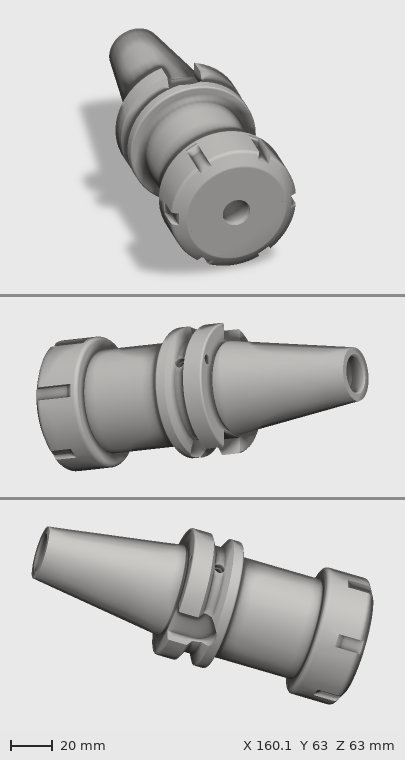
import cadquery as cq
import math


total_length = 160.1
taper_end = 65.8
flange_start = 67.2
flange_end = 92.4
nut_start = 134.8

taper_big_radius = 22.5
taper_ratio = 7 / 24
taper_small_radius = taper_big_radius - taper_end * taper_ratio / 2
neck_radius = 21.6
neck_step = taper_big_radius - neck_radius

flange_radius = 31.5
flange_fillet = 1.0
groove_start = 77.0
groove_end = 87.1
groove_radius = 26.5
groove_flank_angle = 60
groove_flank = (flange_radius - groove_radius) / math.tan(math.radians(groove_flank_angle))

shank_radius = 25.0
shank_fillet = 2.7
shank_chamfer = 0.6
spigot_radius = 23.4

bore_radius = 6.9
counterbore_radius = 8.8
counterbore_depth = 6.4
mouth_chamfer = 0.8
bore_chamfer = 1.1

drive_slot_width = 16.7
drive_slot_end = 88.7
drive_slot_floor = 22.7
drive_slot_lead_in = 0.6

coolant_angle = 20
coolant_tilt = 25
coolant_diameter = 4.5
coolant_circle_radius = 26.9
port_diameter = 5.0
port_depth = 2.7
port_core_diameter = 3.2
port_x = (groove_start + groove_end) / 2
coolant_end_radius = coolant_circle_radius - (port_x - flange_start) * math.tan(math.radians(coolant_tilt))

nut_radius = 31.5
nut_rear_fillet = 2.0
nut_cone_start = 156.1
nut_end_radius = 25.0
nut_shoulder_fillet = 2.2
nut_end_fillet = 1.6

spanner_slot_count = 6
spanner_slot_width = 6.4
spanner_slot_floor = 28.2
long_slot_start = 138.2
short_slot_start = 144.9
slot_ramp_length = 3.2
slot_ramp_top = 30.7

clearance = 1.6


def revolve_about_x(profile):
    """Turn a closed (x, radius) profile about the X axis."""
    return profile.close().revolve(360, (0, 0, 0), (1, 0, 0))


def cylinder_between(start, end, diameter):
    """Round bar from one point to another."""
    axis = cq.Vector(*end) - cq.Vector(*start)
    return cq.Workplane(cq.Solid.makeCylinder(diameter / 2, axis.Length, cq.Vector(*start), axis))


def turned_holder():
    profile = (
        cq.Workplane("XY")
        .moveTo(0, 0)
        .lineTo(0, taper_small_radius)
        .lineTo(taper_end, taper_big_radius)
        .lineTo(taper_end + neck_step, neck_radius)
        .lineTo(flange_start, neck_radius)
        .lineTo(flange_start, flange_radius - flange_fillet)
        .tangentArcPoint((flange_start + flange_fillet, flange_radius), relative=False)
        .lineTo(groove_start, flange_radius)
        .lineTo(groove_start + groove_flank, groove_radius)
        .lineTo(groove_end - groove_flank, groove_radius)
        .lineTo(groove_end, flange_radius)
        .lineTo(flange_end - flange_fillet, flange_radius)
        .tangentArcPoint((flange_end, flange_radius - flange_fillet), relative=False)
        .lineTo(flange_end, shank_radius + shank_fillet)
        .tangentArcPoint((flange_end + shank_fillet, shank_radius), relative=False)
        .lineTo(nut_start - shank_chamfer, shank_radius)
        .lineTo(nut_start, shank_radius - shank_chamfer)
        .lineTo(nut_start, spigot_radius)
        .lineTo(total_length, spigot_radius)
        .lineTo(total_length, 0)
    )
    return revolve_about_x(profile)


def bore():
    profile = (
        cq.Workplane("XY")
        .lineTo(0, counterbore_radius + mouth_chamfer)
        .lineTo(mouth_chamfer, counterbore_radius)
        .lineTo(counterbore_depth, counterbore_radius)
        .lineTo(counterbore_depth, bore_radius + bore_chamfer)
        .lineTo(counterbore_depth + bore_chamfer, bore_radius)
        .lineTo(total_length, bore_radius)
        .lineTo(total_length, 0)
    )
    return revolve_about_x(profile)


def drive_slot():
    """Slot at the +Z side, open towards the taper with a chamfered floor edge, rounded at its far end."""
    half_width = drive_slot_width / 2
    arc_start = drive_slot_end - half_width
    open_end = flange_start - clearance
    slot = (
        cq.Workplane("XY", origin=(0, 0, drive_slot_floor))
        .moveTo(open_end, -half_width)
        .lineTo(arc_start, -half_width)
        .threePointArc((drive_slot_end, 0), (arc_start, half_width))
        .lineTo(open_end, half_width)
        .close()
        .extrude(flange_radius + clearance - drive_slot_floor)
    )
    lead_in = (
        cq.Workplane("XZ", origin=(0, half_width, 0))
        .moveTo(flange_start, drive_slot_floor)
        .lineTo(flange_start, drive_slot_floor - drive_slot_lead_in)
        .lineTo(flange_start + drive_slot_lead_in, drive_slot_floor)
        .close()
        .extrude(drive_slot_width)
    )
    return slot.union(lead_in)


def coolant_channel():
    """Channel in the +Y half plane: tilted hole from the flange face and stepped radial port."""
    rise = clearance * math.tan(math.radians(coolant_tilt))
    entry = (flange_start - clearance, coolant_circle_radius + rise, 0)
    junction = (port_x, coolant_end_radius, 0)
    port_mouth = (port_x, groove_radius + clearance, 0)
    port_floor = (port_x, groove_radius - port_depth, 0)
    tilted_hole = cylinder_between(entry, junction, coolant_diameter)
    port = cylinder_between(port_mouth, port_floor, port_diameter)
    port_core = cylinder_between(port_floor, junction, port_core_diameter)
    return tilted_hole.union(port).union(port_core)


def make_holder():
    body = turned_holder().cut(bore())
    for half_turn in (0, 180):
        body = body.cut(drive_slot().rotate((0, 0, 0), (1, 0, 0), half_turn))
        body = body.cut(coolant_channel().rotate((0, 0, 0), (1, 0, 0), half_turn + coolant_angle))
    return body


def turned_nut():
    profile = (
        cq.Workplane("XY")
        .moveTo(nut_start, 0)
        .lineTo(nut_start, nut_radius)
        .lineTo(nut_cone_start, nut_radius)
        .lineTo(total_length, nut_end_radius)
        .lineTo(total_length, 0)
    )
    thread_bore = cylinder_between((nut_start, 0, 0), (total_length, 0, 0), 2 * spigot_radius)
    return (
        revolve_about_x(profile)
        .edges("%CIRCLE").edges("not(<X or >X)").fillet(nut_shoulder_fillet)
        .edges("<X").fillet(nut_rear_fillet)
        .edges(">X").fillet(nut_end_fillet)
        .cut(thread_bore)
    )


def spanner_slot(start):
    """Slot at the +Y side with a ramp at its rear end, open at the nut's front end."""
    outside = nut_radius + clearance
    return (
        cq.Workplane("XY", origin=(0, 0, -spanner_slot_width / 2))
        .moveTo(start, outside)
        .lineTo(start, slot_ramp_top)
        .lineTo(start + slot_ramp_length, spanner_slot_floor)
        .lineTo(total_length + clearance, spanner_slot_floor)
        .lineTo(total_length + clearance, outside)
        .close()
        .extrude(spanner_slot_width)
    )


def make_nut():
    body = turned_nut()
    for index in range(spanner_slot_count):
        start = long_slot_start if index < spanner_slot_count / 2 else short_slot_start
        angle = index * 360 / spanner_slot_count
        body = body.cut(spanner_slot(start).rotate((0, 0, 0), (1, 0, 0), angle))
    return body


holder = make_holder()
nut = make_nut()
result = cq.Compound.makeCompound([holder.solids().val(), nut.solids().val()])